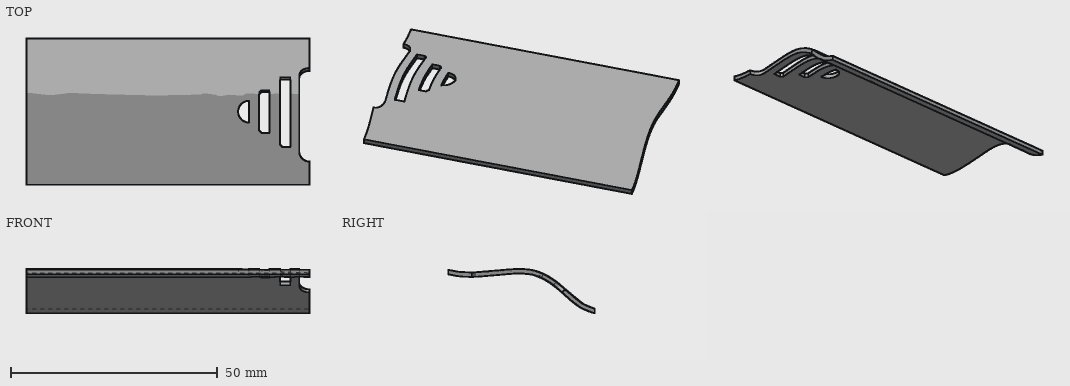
import cadquery as cq

length = 68.5
width = 35.5
thickness = 1.1
end_x = length / 2
half_width = width / 2
overhang = 0.7

upper_points = [
    (-half_width, 10.6),
    (-15.4, 10.15),
    (-12.3, 9.9),
    (-8.85, 10.15),
    (-4.8, 10.55),
    (-0.8, 10.8),
    (3.15, 10.4),
    (5.8, 9.4),
    (8.5, 7.7),
    (12.5, 4.2),
    (15.15, 2.2),
    (half_width, 1.15),
]
edge_slope_front = -0.25
edge_slope_back = -0.3

round_hole_radius = 2.6
round_hole_flat_x = 19.6
slot_width = 2.5
short_slot_x = 22.05
short_slot_ends = (-5.2, 5.2)
short_slot_chamfer = 0.6
long_slot_x = 27.1
long_slot_ends = (-8.55, 8.35)
long_slot_chamfer = 0.55
notch_x = 31.8
notch_ends = (-12.05, 10.55)
notch_radius = 2.4

bisection_steps = 40

upper_curve = cq.Edge.makeSpline(
    [cq.Vector(0, y, z) for y, z in upper_points],
    tangents=[cq.Vector(0, 1, edge_slope_front), cq.Vector(0, 1, edge_slope_back)],
)


def curve_frame(y):
    """Return the upper face's (y, z) point and upward unit normal at y."""
    low, high = 0.0, 1.0
    for _ in range(bisection_steps):
        middle = (low + high) / 2
        if upper_curve.positionAt(middle).y < y:
            low = middle
        else:
            high = middle
    point = upper_curve.positionAt(low)
    tangent = upper_curve.tangentAt(low)
    return (point.y, point.z), (-tangent.z, tangent.y)


def along_normal(y, distance):
    """Return the (y, z) point at a distance above the upper face."""
    point, normal = curve_frame(y)
    return (point[0] + distance * normal[0], point[1] + distance * normal[1])


def extended(points):
    """Continue both ends of a point row in a straight line past the plate edges."""
    first_y, first_z = points[0]
    last_y, last_z = points[-1]
    before = (first_y - overhang, first_z - edge_slope_front * overhang)
    after = (last_y + overhang, last_z + edge_slope_back * overhang)
    return [before] + points + [after]


def wavy_plate():
    """Uniformly thick wavy sheet with upright long edges."""
    upper = extended(upper_points)
    lower = extended([along_normal(y, -thickness) for y, _ in upper_points])
    stock = (
        cq.Workplane("YZ")
        .workplane(offset=-end_x)
        .moveTo(*upper[0])
        .spline(upper[1:], includeCurrent=True)
        .lineTo(*lower[-1])
        .spline(lower[-2::-1], includeCurrent=True)
        .close()
        .extrude(length)
    )
    return stock.intersect(cq.Workplane("XY").box(length, width, length))


def normal_cutter(start_x, cut_length, ends):
    """Block whose two Y ends stand square to the plate surface."""
    below = -thickness - overhang
    first, last = ends
    above = 2 * overhang
    crest = max(z for _, z in upper_points) + above
    outline = [
        along_normal(first, below),
        along_normal(first, above),
        (0, crest),
        along_normal(last, above),
        along_normal(last, below),
    ]
    return cq.Workplane("YZ").workplane(offset=start_x).polyline(outline).close().extrude(cut_length)


def slot_cutter(start_x, ends, chamfer, chamfered_ends):
    """Slot across X with its left corners cut off at the chosen Y ends."""
    cutter = normal_cutter(start_x, slot_width, ends)
    left_edges = cutter.faces("<X").edges(chamfered_ends)
    return left_edges.chamfer(chamfer)


def notch_cutter():
    """Notch open at the +X end with rounded inner corners."""
    cutter = normal_cutter(notch_x, end_x - notch_x + overhang, notch_ends)
    return cutter.faces("<X").edges("<Y or >Y").fillet(notch_radius)


def round_hole_cutter():
    """Half-disc hole, rounded toward -X and flat toward +X."""
    return (
        cq.Workplane("XY")
        .moveTo(round_hole_flat_x, -round_hole_radius)
        .threePointArc((round_hole_flat_x - round_hole_radius, 0), (round_hole_flat_x, round_hole_radius))
        .close()
        .extrude(length)
    )


result = (
    wavy_plate()
    .cut(round_hole_cutter())
    .cut(slot_cutter(short_slot_x, short_slot_ends, short_slot_chamfer, "<Y or >Y"))
    .cut(slot_cutter(long_slot_x, long_slot_ends, long_slot_chamfer, "<Y"))
    .cut(notch_cutter())
)